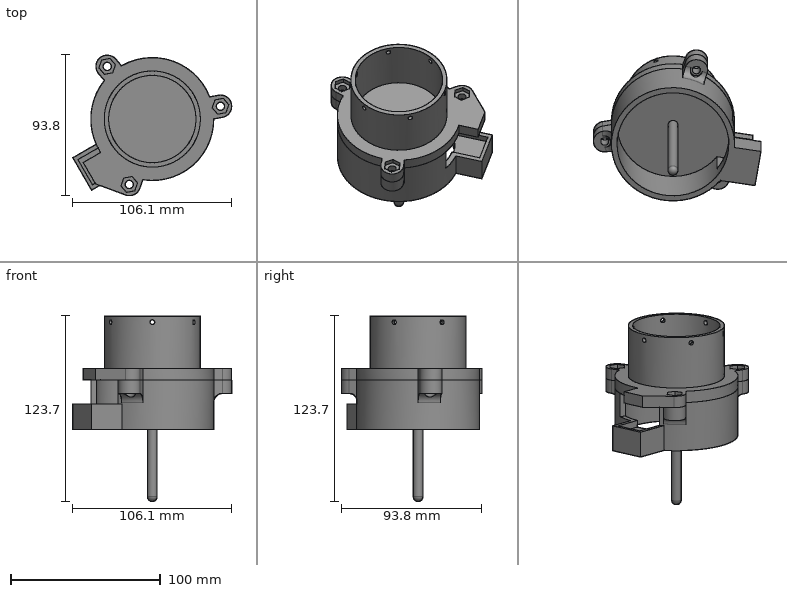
import cadquery as cq
import math

OVERALL_HEIGHT = 123.7

CAP_BOTTOM = 33.2
CAP_TOP = 41.0
TUBE_TOP = 75.7
LUG_BOTTOM = 24.1
BOX_TOP = 17.2
BOX_FLOOR = 12.6
SHAFT_TIP = TUBE_TOP - OVERALL_HEIGHT

BODY_RADIUS = 41.1
HOUSING_BORE_RADIUS = 74.6 / 2
TUBE_RADIUS = 64.2 / 2
TUBE_BORE_RADIUS = 58.3 / 2
SHAFT_RADIUS = 6.5 / 2

RIM_HOLE_COUNT = 6
RIM_HOLE_DIAMETER = 3.0
RIM_HOLE_DROP = 4.0

LUG_ANGLES = (10.6, 130.6, 250.6)
LUG_DISTANCE = 46.3
LUG_RADIUS = 7.5
BOLT_DIAMETER = 5.3
BOLT_HEAD_DIAMETER = 8.2
NUT_CORNER_DIAMETER = 11.3
NUT_POCKET_DEPTH = 3.1
COVE_RADIUS = 6.0

BOX_ANGLE = 210
BOX_REACH = 58.9
BOX_SIDES = (-4.2, 20.9)
BOX_SIDE_WALL = 2.8
BOX_FRONT_WALL = 2.4
WINDOW_START_ANGLE = 186.2

TAB_REACH = 54.4
TAB_SIDES = (2.1, 18.5)


def disc(radius, bottom, top):
    """Solid cylinder on the common axis."""
    return cq.Workplane("XY").workplane(offset=bottom).circle(radius).extrude(top - bottom)


def polar(distance, angle):
    """Point at a distance from the axis, in the direction of an angle in degrees."""
    return (distance * math.cos(math.radians(angle)), distance * math.sin(math.radians(angle)))


def box_point(reach, side):
    """Point given in the frame of the side box."""
    x, y = polar(reach, BOX_ANGLE)
    side_x, side_y = polar(side, BOX_ANGLE + 90)
    return (x + side_x, y + side_y)


def box_block(reach, sides, bottom, top):
    """Block from the axis out to a reach, lying in the direction of the side box."""
    right, left = sides
    corners = [box_point(0, right), box_point(reach, right), box_point(reach, left), box_point(0, left)]
    return cq.Workplane("XY").workplane(offset=bottom).polyline(corners).close().extrude(top - bottom)


def lug_cylinder(diameter, bottom, top):
    """Cylinder on the bolt axis of a lug that lies along +X."""
    return (
        cq.Workplane("XY")
        .workplane(offset=bottom)
        .center(LUG_DISTANCE, 0)
        .circle(diameter / 2)
        .extrude(top - bottom)
    )


def arm(bottom, top):
    """Lug blank along +X: a round end with straight sides running back to the axis."""
    arm_block = (
        cq.Workplane("XY")
        .workplane(offset=bottom)
        .center(LUG_DISTANCE / 2, 0)
        .rect(LUG_DISTANCE, 2 * LUG_RADIUS)
        .extrude(top - bottom)
    )
    return arm_block.union(lug_cylinder(2 * LUG_RADIUS, bottom, top))


def at_lugs(shape):
    """Copies of a shape built along +X, turned to the three lug angles and joined."""
    copies = cq.Workplane("XY")
    for angle in LUG_ANGLES:
        copies = copies.add(shape.rotate((0, 0, 0), (0, 0, 1), angle).val())
    return copies.combine()


def housing_lug():
    """Lug with a cove under it that sweeps down to the housing wall."""
    cove_bottom = LUG_BOTTOM - COVE_RADIUS
    cove_center = (BODY_RADIUS + COVE_RADIUS, cove_bottom)
    far_reach = LUG_DISTANCE + 2 * LUG_RADIUS
    sin_45 = math.sin(math.radians(45))
    arc_middle = (cove_center[0] - COVE_RADIUS * sin_45, cove_center[1] + COVE_RADIUS * sin_45)
    space_below = (
        cq.Workplane("XZ")
        .moveTo(BODY_RADIUS, cove_bottom)
        .threePointArc(arc_middle, (cove_center[0], LUG_BOTTOM))
        .lineTo(far_reach, LUG_BOTTOM)
        .lineTo(far_reach, cove_bottom)
        .close()
        .revolve(360, (0, 0, 0), (0, 1, 0))
    )
    bolt_head_space = lug_cylinder(BOLT_HEAD_DIAMETER, cove_bottom, LUG_BOTTOM)
    return arm(cove_bottom, CAP_BOTTOM).cut(space_below).cut(bolt_head_space)


def bolt_holes():
    """Bolt clearance running through the stacked lugs of housing and cap."""
    return at_lugs(lug_cylinder(BOLT_DIAMETER, LUG_BOTTOM, CAP_TOP))


def window():
    """Wall opening from its start angle round to the middle of the side box."""
    far_reach = 2 * BODY_RADIUS
    return (
        cq.Workplane("XY")
        .workplane(offset=BOX_TOP)
        .polyline([(0, 0), polar(far_reach, WINDOW_START_ANGLE), polar(far_reach, BOX_ANGLE)])
        .close()
        .extrude(CAP_BOTTOM - BOX_TOP)
    )


def make_housing():
    """Open ring with three lugs, a side box with a shallow recess, and a window in its wall."""
    body = disc(BODY_RADIUS, 0, CAP_BOTTOM)
    body = body.union(box_block(BOX_REACH, BOX_SIDES, 0, BOX_TOP))
    body = body.union(at_lugs(housing_lug()))
    body = body.cut(disc(HOUSING_BORE_RADIUS, 0, CAP_BOTTOM))
    recess_sides = (BOX_SIDES[0] + BOX_SIDE_WALL, BOX_SIDES[1] - BOX_SIDE_WALL)
    recess = box_block(BOX_REACH - BOX_FRONT_WALL, recess_sides, BOX_FLOOR, CAP_BOTTOM)
    return body.cut(recess).cut(window()).cut(bolt_holes())


def cap_tab():
    """Tab over the side box; its long edge runs tangent to the neighbouring lug."""
    right, left = TAB_SIDES
    corner_x, corner_y = box_point(TAB_REACH, left)
    lug_x, lug_y = polar(LUG_DISTANCE, LUG_ANGLES[2])
    corner_distance = math.hypot(corner_x - lug_x, corner_y - lug_y)
    corner_angle = math.degrees(math.atan2(corner_y - lug_y, corner_x - lug_x))
    tangent_angle = corner_angle + math.degrees(math.acos(LUG_RADIUS / corner_distance))
    offset_x, offset_y = polar(LUG_RADIUS, tangent_angle)
    outline = [
        (0, 0),
        box_point(0, right),
        box_point(TAB_REACH, right),
        (corner_x, corner_y),
        (lug_x + offset_x, lug_y + offset_y),
        (lug_x, lug_y),
    ]
    sketch = cq.Workplane("XY").workplane(offset=CAP_BOTTOM).polyline(outline).close()
    return sketch.extrude(CAP_TOP - CAP_BOTTOM)


def nut_pockets():
    """Hexagonal pockets in the cap top, each with a corner pointing away from the axis."""
    pocket = (
        cq.Workplane("XY")
        .workplane(offset=CAP_TOP - NUT_POCKET_DEPTH)
        .center(LUG_DISTANCE, 0)
        .polygon(6, NUT_CORNER_DIAMETER)
        .extrude(NUT_POCKET_DEPTH)
    )
    return at_lugs(pocket)


def rim_holes():
    """Radial holes through the tube wall, evenly spaced below the rim."""
    holes = cq.Workplane("XY")
    for index in range(RIM_HOLE_COUNT):
        drill = (
            cq.Workplane("XZ")
            .center(0, TUBE_TOP - RIM_HOLE_DROP)
            .circle(RIM_HOLE_DIAMETER / 2)
            .extrude(2 * TUBE_RADIUS)
        )
        holes = holes.add(drill.rotate((0, 0, 0), (0, 0, 1), index * 360 / RIM_HOLE_COUNT).val())
    return holes.combine()


def make_cap():
    """Plate with three lugs and a tab, carrying the open tube."""
    plate = disc(BODY_RADIUS, CAP_BOTTOM, CAP_TOP)
    plate = plate.union(at_lugs(arm(CAP_BOTTOM, CAP_TOP))).union(cap_tab())
    tube = disc(TUBE_RADIUS, CAP_TOP, TUBE_TOP).cut(disc(TUBE_BORE_RADIUS, CAP_TOP, TUBE_TOP))
    return plate.union(tube).cut(bolt_holes()).cut(nut_pockets()).cut(rim_holes())


def make_shaft():
    """Shaft that hangs from the underside of the cap and has a domed tip."""
    dome_center = SHAFT_TIP + SHAFT_RADIUS
    rod = disc(SHAFT_RADIUS, dome_center, CAP_BOTTOM)
    dome = cq.Workplane("XY").sphere(SHAFT_RADIUS).translate((0, 0, dome_center))
    return rod.union(dome)


housing = make_housing()
cap = make_cap()
shaft = make_shaft()

result = cq.Compound.makeCompound([housing.solids().val(), cap.solids().val(), shaft.solids().val()])